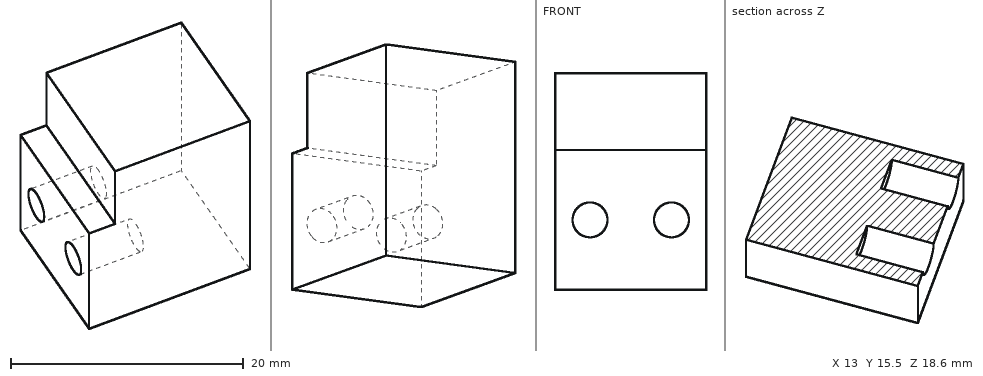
import cadquery as cq

width = 13.0
depth = 15.5
height = 18.6

step_depth = 2.5
shelf_height = 12.0

hole_diameter = 3.0
hole_spacing = 7.0
hole_height = shelf_height / 2
hole_depth = 2 * hole_diameter


def stepped_block():
    """Extrude the L-shaped side profile symmetrically across the width."""
    profile = [
        (0, 0),
        (depth, 0),
        (depth, height),
        (step_depth, height),
        (step_depth, shelf_height),
        (0, shelf_height),
    ]
    return cq.Workplane("YZ").polyline(profile).close().extrude(width / 2, both=True)


def front_holes():
    """Cylinders running from the front face into the block along +Y."""
    centres = [(-hole_spacing / 2, hole_height), (hole_spacing / 2, hole_height)]
    return (
        cq.Workplane("XZ")
        .pushPoints(centres)
        .circle(hole_diameter / 2)
        .extrude(-hole_depth)
    )


result = stepped_block().cut(front_holes())